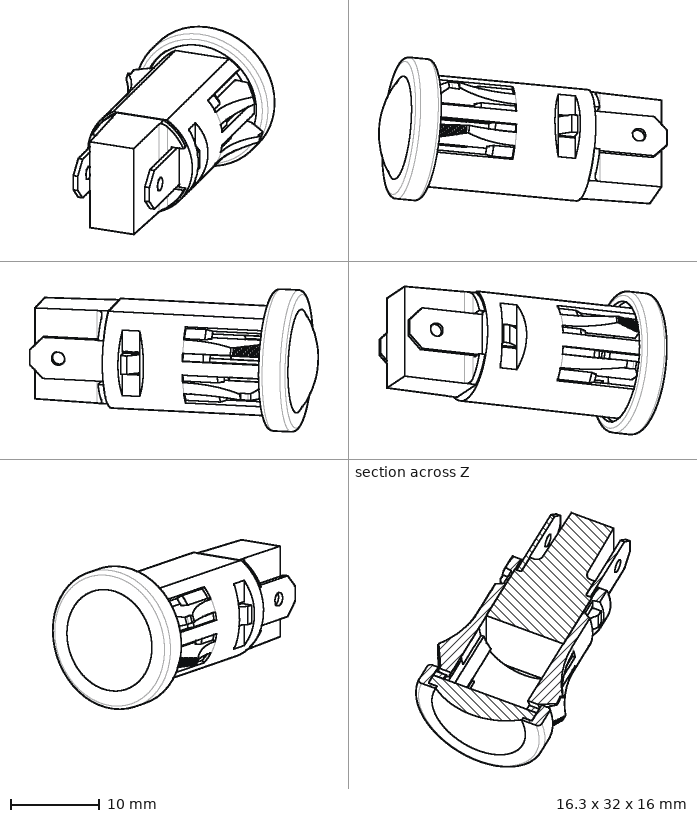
import cadquery as cq
import math


TOTAL_LENGTH = 32.0

BEZEL_RADIUS = 8.0
BEZEL_HEIGHT = 3.0
BEZEL_ROUNDING = 0.48
BEZEL_LIP = 0.45
HEAD_RADIUS = 6.82
HEAD_REAR_Y = 0.65
HEAD_FRONT_Y = 1.28

LENS_RADIUS = 5.83
LENS_TOP = 5.03

TUBE_RADIUS = 6.35
TUBE_LENGTH = 18.25
TUBE_FLAT = 5.45
BORE_RADIUS = 5.65
BORE_FLAT = 5.12
SOCKET_HALF_WIDTH = 4.77

SLOT_LENGTH = 9.05
SLOT_START_ANGLE = 7.2
SLOT_END_ANGLE = 43.9
SLOT_FLOOR_RADIUS = 6.0
FLOOR_BEVEL = 0.7
BARBED_SLOT_OPENING = 4.4
STEPPED_SLOT_OPENING = 6.02

FINGER_FRONT_Y = 0.15
FINGER_INNER_RADIUS = 5.28
FINGER_BASE_X = 3.85
FINGER_TIP_X = 8.95
FINGER_BASE_Z = (1.1, 3.23)
FINGER_TIP_Z = (2.43, 2.88)
BARB_RADIUS = 8.45
BARB_Y = -2.02
BARB_NECK_RADIUS = 8.13
BARB_SHOULDER_RADIUS = 8.23
BARB_SHOULDER_Y = (-1.2, -0.83)
BARB_FRONT_RADIUS = 6.5
STEPPED_RADIUS = 8.2
STEPPED_Y = -3.17
STEP_COUNT = 15
STEP_PITCH = 0.2
STEPPED_FRONT_RADIUS = 6.7

WINDOW_FLOOR_X = 5.1
WINDOW_OPENING_HALF_WIDTH = 1.3
WINDOW_FLOOR_Y = (-14.2, -16.2)
WINDOW_RIM_Y = (-13.5, -16.45)

PLATE_RADIUS = 6.08
PLATE_FLAT = 5.38
PLATE_THICKNESS = 0.67
BLOCK_END_Y = -26.82
BLOCK_ROOT_HALF_WIDTH = 2.82
BLOCK_END_HALF_WIDTH = 2.65
BLOCK_END_HALF_HEIGHT = 5.25
BLOCK_ROOT_FILLET = 0.75
LATCH_TOP_X = 6.1
LATCH_RAMP_END_Y = -15.5
LATCH_HALF_WIDTH = 1.05

TERMINAL_END_Y = LENS_TOP - TOTAL_LENGTH
TERMINAL_INNER_X = 4.05
TERMINAL_THICKNESS = 0.55
TERMINAL_HALF_WIDTH = 2.37
TERMINAL_CHAMFER = 1.5
TERMINAL_HOLE_DIAMETER = 1.5
TERMINAL_HOLE_Y = -23.72
POCKET_HALF_WIDTH = 2.53
POCKET_FLOOR_Y = -16.65

PLATE_REAR_Y = -TUBE_LENGTH - PLATE_THICKNESS

OUTSIDE = 2 * BEZEL_RADIUS
SELECT_MARGIN = 0.03


def disc(radius, front_y, rear_y):
    """Cylinder on the lamp axis between two Y positions."""
    return cq.Workplane("XZ", origin=(0, front_y, 0)).circle(radius).extrude(front_y - rear_y)


def block(x_range, y_range, z_range):
    """Box between the given limits."""
    sizes = [abs(high - low) for low, high in (x_range, y_range, z_range)]
    corner = (min(x_range), min(y_range), min(z_range))
    return cq.Workplane("XY").box(*sizes, centered=False).translate(corner)


def turned(profile):
    """Ring turned about the lamp axis from a closed (radius, Y) profile."""
    return profile.close().revolve(360, (0, 0, 0), (0, 1, 0))


def quadrant_prism(points, side, level):
    """Prism along the slots over (X, Z) points, mirrored to the quadrant of the two signs."""
    placed = [(side * x, level * z) for x, z in points]
    prism = cq.Workplane("XZ", origin=(0, HEAD_REAR_Y, 0)).polyline(placed).close()
    return prism.extrude(HEAD_REAR_Y + SLOT_LENGTH)


def side_profile(points, side):
    """Closed (X, Y) outline on one side of the lamp."""
    return cq.Workplane("XY").polyline([(side * x, y) for x, y in points]).close()


def socket_shape(rear_y):
    """Core of the tube behind the slots: the bore with flats on four sides."""
    limits = block(
        (-SOCKET_HALF_WIDTH, SOCKET_HALF_WIDTH),
        (-SLOT_LENGTH, rear_y),
        (-BORE_FLAT, BORE_FLAT),
    )
    return disc(BORE_RADIUS, -SLOT_LENGTH, rear_y).intersect(limits)


def make_bezel():
    ring = disc(BEZEL_RADIUS, BEZEL_HEIGHT, 0).edges().fillet(BEZEL_ROUNDING)
    ring = ring.cut(disc(HEAD_RADIUS, BEZEL_HEIGHT - BEZEL_LIP, 0))
    return ring.cut(disc(LENS_RADIUS, BEZEL_HEIGHT, 0))


def make_lens():
    profile = (
        cq.Workplane("XY")
        .moveTo(0, HEAD_FRONT_Y)
        .lineTo(HEAD_RADIUS, HEAD_FRONT_Y)
        .lineTo(HEAD_RADIUS, BEZEL_HEIGHT - BEZEL_LIP)
        .lineTo(LENS_RADIUS, BEZEL_HEIGHT - BEZEL_LIP)
        .lineTo(LENS_RADIUS, BEZEL_HEIGHT)
    )
    rise = LENS_TOP - BEZEL_HEIGHT
    dome_radius = (LENS_RADIUS**2 + rise**2) / (2 * rise)
    half_angle = math.asin(LENS_RADIUS / dome_radius) / 2
    middle = (
        dome_radius * math.sin(half_angle),
        LENS_TOP - dome_radius * (1 - math.cos(half_angle)),
    )
    return turned(profile.threePointArc(middle, (0, LENS_TOP)))


def make_slot(side, level, opening):
    """Slot cutter: open to the bore near the bezel, with a bevelled floor farther back."""
    profile = cq.Workplane("XY").polyline(
        [
            (FINGER_INNER_RADIUS, HEAD_REAR_Y),
            (BEZEL_RADIUS, HEAD_REAR_Y),
            (BEZEL_RADIUS, -SLOT_LENGTH),
            (SLOT_FLOOR_RADIUS, -SLOT_LENGTH),
            (SLOT_FLOOR_RADIUS, -opening - FLOOR_BEVEL),
            (BORE_RADIUS, -opening),
            (FINGER_INNER_RADIUS, -opening),
        ]
    )
    angles = [math.radians(a) for a in (SLOT_START_ANGLE, SLOT_END_ANGLE)]
    rays = [(OUTSIDE * math.cos(a), OUTSIDE * math.sin(a)) for a in angles]
    return turned(profile).intersect(quadrant_prism([(0, 0), *rays], side, level))


def finger_flare(tip_radius, tip_y):
    """Start of a finger profile: the inner edge, then an arc from the tube surface to the tip."""
    length = tip_y + SLOT_LENGTH
    rise = tip_radius - TUBE_RADIUS
    arc_radius = (length**2 + rise**2) / (2 * rise)
    half_angle = math.asin(length / arc_radius) / 2
    middle = (
        TUBE_RADIUS + arc_radius * (1 - math.cos(half_angle)),
        -SLOT_LENGTH + arc_radius * math.sin(half_angle),
    )
    return (
        cq.Workplane("XY")
        .moveTo(FINGER_INNER_RADIUS, FINGER_FRONT_Y)
        .lineTo(FINGER_INNER_RADIUS, -SLOT_LENGTH)
        .lineTo(TUBE_RADIUS, -SLOT_LENGTH)
        .threePointArc(middle, (tip_radius, tip_y))
    )


def barbed_profile():
    return (
        finger_flare(BARB_RADIUS, BARB_Y)
        .lineTo(BARB_NECK_RADIUS, BARB_Y)
        .lineTo(BARB_SHOULDER_RADIUS, BARB_SHOULDER_Y[0])
        .lineTo(BARB_SHOULDER_RADIUS, BARB_SHOULDER_Y[1])
        .lineTo(BARB_FRONT_RADIUS, FINGER_FRONT_Y)
    )


def stepped_profile():
    profile = finger_flare(STEPPED_RADIUS, STEPPED_Y)
    step_rise = (STEPPED_RADIUS - STEPPED_FRONT_RADIUS) / STEP_COUNT
    for step in range(STEP_COUNT):
        step_y = (step - STEP_COUNT) * STEP_PITCH
        radius = STEPPED_RADIUS - step * step_rise
        profile = profile.lineTo(radius, step_y).lineTo(radius - step_rise, step_y)
    return profile.lineTo(STEPPED_FRONT_RADIUS, FINGER_FRONT_Y)


def make_finger(side, level, profile):
    section = [
        (FINGER_BASE_X, FINGER_BASE_Z[0]),
        (FINGER_TIP_X, FINGER_TIP_Z[0]),
        (FINGER_TIP_X, FINGER_TIP_Z[1]),
        (FINGER_BASE_X, FINGER_BASE_Z[1]),
    ]
    return turned(profile).intersect(quadrant_prism(section, side, level))


def make_window(side):
    """Window cutter with sloping front and rear walls, and an opening from its floor to the socket."""
    slopes = [rim - floor for rim, floor in zip(WINDOW_RIM_Y, WINDOW_FLOOR_Y)]
    reach = (BEZEL_RADIUS - WINDOW_FLOOR_X) / (TUBE_RADIUS - WINDOW_FLOOR_X)
    outline = [
        (WINDOW_FLOOR_X, WINDOW_FLOOR_Y[0]),
        (BEZEL_RADIUS, WINDOW_FLOOR_Y[0] + reach * slopes[0]),
        (BEZEL_RADIUS, WINDOW_FLOOR_Y[1] + reach * slopes[1]),
        (WINDOW_FLOOR_X, WINDOW_FLOOR_Y[1]),
    ]
    opening = block(
        (side * SOCKET_HALF_WIDTH, side * WINDOW_FLOOR_X),
        WINDOW_FLOOR_Y,
        (-WINDOW_OPENING_HALF_WIDTH, WINDOW_OPENING_HALF_WIDTH),
    )
    return side_profile(outline, side).extrude(BEZEL_RADIUS, both=True).union(opening)


def make_housing():
    flat = block((-OUTSIDE, OUTSIDE), (HEAD_REAR_Y, -TUBE_LENGTH), (-OUTSIDE, TUBE_FLAT))
    housing = disc(TUBE_RADIUS, HEAD_REAR_Y, -TUBE_LENGTH).intersect(flat)
    housing = housing.union(disc(HEAD_RADIUS, HEAD_FRONT_Y, HEAD_REAR_Y))
    bore_limit = block((-OUTSIDE, OUTSIDE), (HEAD_FRONT_Y, -SLOT_LENGTH), (-OUTSIDE, BORE_FLAT))
    housing = housing.cut(disc(BORE_RADIUS, HEAD_FRONT_Y, -SLOT_LENGTH).intersect(bore_limit))
    housing = housing.cut(socket_shape(-TUBE_LENGTH))
    for side in (-1, 1):
        housing = housing.cut(make_window(side))
        housing = housing.cut(make_slot(side, -side, BARBED_SLOT_OPENING))
        housing = housing.cut(make_slot(side, side, STEPPED_SLOT_OPENING))
        housing = housing.union(make_finger(side, -side, barbed_profile()))
        housing = housing.union(make_finger(side, side, stepped_profile()))
    return housing


def make_plate_and_block():
    """Round plate with two flats that run on into the tapered block between the terminals."""
    outline = [
        (-BEZEL_RADIUS, -TUBE_LENGTH),
        (BEZEL_RADIUS, -TUBE_LENGTH),
        (BEZEL_RADIUS, PLATE_REAR_Y),
        (BLOCK_ROOT_HALF_WIDTH, PLATE_REAR_Y),
        (BLOCK_END_HALF_WIDTH, BLOCK_END_Y),
        (-BLOCK_END_HALF_WIDTH, BLOCK_END_Y),
        (-BLOCK_ROOT_HALF_WIDTH, PLATE_REAR_Y),
        (-BEZEL_RADIUS, PLATE_REAR_Y),
    ]
    body = cq.Workplane("XY").polyline(outline).close().extrude(BEZEL_RADIUS, both=True)
    root_edges = cq.selectors.BoxSelector(
        (-BLOCK_ROOT_HALF_WIDTH - SELECT_MARGIN, PLATE_REAR_Y - SELECT_MARGIN, -SELECT_MARGIN),
        (BLOCK_ROOT_HALF_WIDTH + SELECT_MARGIN, PLATE_REAR_Y + SELECT_MARGIN, SELECT_MARGIN),
    )
    body = body.edges(root_edges).fillet(BLOCK_ROOT_FILLET)
    side_outline = [
        (-TUBE_LENGTH, PLATE_FLAT),
        (BLOCK_END_Y, BLOCK_END_HALF_HEIGHT),
        (BLOCK_END_Y, -BLOCK_END_HALF_HEIGHT),
        (-TUBE_LENGTH, -PLATE_FLAT),
    ]
    taper = cq.Workplane("YZ").polyline(side_outline).close().extrude(BEZEL_RADIUS, both=True)
    return body.intersect(taper).intersect(disc(PLATE_RADIUS, -TUBE_LENGTH, BLOCK_END_Y))


def make_latch(side):
    """Ramped lug that snaps into a housing window."""
    outline = [
        (SOCKET_HALF_WIDTH, WINDOW_FLOOR_Y[0]),
        (WINDOW_FLOOR_X, WINDOW_FLOOR_Y[0]),
        (LATCH_TOP_X, LATCH_RAMP_END_Y),
        (LATCH_TOP_X, WINDOW_FLOOR_Y[1]),
        (SOCKET_HALF_WIDTH, WINDOW_FLOOR_Y[1]),
    ]
    return side_profile(outline, side).extrude(LATCH_HALF_WIDTH, both=True)


def make_base():
    base = socket_shape(-TUBE_LENGTH).union(make_plate_and_block())
    pocket_y = (POCKET_FLOOR_Y, PLATE_REAR_Y)
    pocket_z = (-POCKET_HALF_WIDTH, POCKET_HALF_WIDTH)
    for side in (-1, 1):
        pocket_x = (side * TERMINAL_INNER_X, side * OUTSIDE)
        base = base.cut(block(pocket_x, pocket_y, pocket_z))
        base = base.union(make_latch(side))
    return base


def make_terminal(side):
    """Flat blade with a chamfered tip and a cross hole."""
    faces_x = (side * TERMINAL_INNER_X, side * (TERMINAL_INNER_X + TERMINAL_THICKNESS))
    blade = block(
        faces_x,
        (POCKET_FLOOR_Y, TERMINAL_END_Y),
        (-TERMINAL_HALF_WIDTH, TERMINAL_HALF_WIDTH),
    )
    blade = blade.faces("<Y").edges("|X").chamfer(TERMINAL_CHAMFER)
    hole = (
        cq.Workplane("YZ")
        .center(TERMINAL_HOLE_Y, 0)
        .circle(TERMINAL_HOLE_DIAMETER / 2)
        .extrude(BEZEL_RADIUS, both=True)
    )
    return blade.cut(hole)


bezel = make_bezel()
lens = make_lens()
housing = make_housing()
base = make_base()
terminals = [make_terminal(side).val() for side in (-1, 1)]

result = cq.Compound.makeCompound([bezel.val(), lens.val(), housing.val(), base.val(), *terminals])